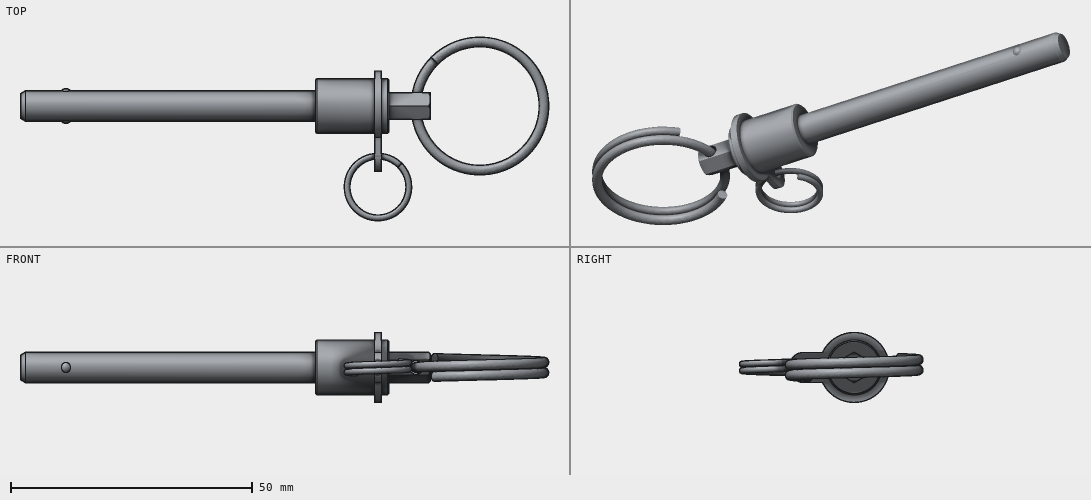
import cadquery as cq
import math

shank_diameter = 6.35
tip_chamfer_length = 1.0
tip_chamfer_depth = 0.6
collar_diameter = 11.4
collar_start = 61.1
collar_length = 15.2
collar_end = collar_start + collar_length
collar_chamfer = 0.3

hex_corner_width = 6.35
hex_length = 8.6
hex_chamfer = 0.35

ball_diameter = 2.4
ball_position = 9.4
ball_protrusion = 0.45
ball_offset = shank_diameter / 2 + ball_protrusion - ball_diameter / 2

tab_thickness = 1.4
tab_center = 74.05
tab_start = tab_center - tab_thickness / 2
tab_diameter = 14.56
tab_ear_width = 6.3
tab_hole_diameter = 2.4
tab_hole_offset = 10.4

coil_clearance = 0.1
ring_gap_angle = 90
winding_angle = 720 - ring_gap_angle

pull_wire_diameter = 2.05
pull_outer_radius = 14.3
pull_mean_radius = pull_outer_radius - pull_wire_diameter / 2
overall_length = 109.47
pull_center_x = overall_length - pull_outer_radius
pull_side = 180

tether_wire_diameter = 1.25
tether_outer_radius = 7.015
tether_mean_radius = tether_outer_radius - tether_wire_diameter / 2
tether_center_y = -(tab_hole_offset + tether_mean_radius)
tether_side = 90

hex_hole_diameter = 2.8
hex_hole_shift = 0.1
hex_hole_position = pull_center_x - pull_mean_radius + hex_hole_shift


def cylinder_x(start, length, diameter):
    """Cylinder along the pin axis."""
    return cq.Workplane("YZ", origin=(start, 0, 0)).circle(diameter / 2).extrude(length)


def make_ball(side):
    """Locking ball on the +Y (side = 1) or -Y (side = -1) side of the shank."""
    return cq.Workplane("XY").sphere(ball_diameter / 2).translate((ball_position, side * ball_offset, 0))


def make_hex_shaft():
    """Hexagonal shaft with a turned chamfer at its end and a cross hole for the pull ring."""
    shaft = (
        cq.Workplane("YZ", origin=(collar_end, 0, 0))
        .transformed(rotate=(0, 0, 90))
        .polygon(6, hex_corner_width)
        .extrude(hex_length)
    )
    envelope = cylinder_x(collar_end, hex_length, hex_corner_width).faces(">X").chamfer(hex_chamfer)
    hole = (
        cq.Workplane("XZ", origin=(hex_hole_position, 0, 0))
        .circle(hex_hole_diameter / 2)
        .extrude(hex_corner_width, both=True)
    )
    return shaft.intersect(envelope).cut(hole)


def make_pin_body(balls):
    """Shank, collar and hexagonal shaft in one piece, with a socket for each ball."""
    shank = (
        cylinder_x(0, collar_start, shank_diameter)
        .faces("<X")
        .chamfer(tip_chamfer_length, tip_chamfer_depth)
    )
    collar = cylinder_x(collar_start, collar_length, collar_diameter).faces("<X or >X").chamfer(collar_chamfer)
    body = shank.union(collar).union(make_hex_shaft())
    for ball in balls:
        body = body.cut(ball)
    return body


def make_tab_washer():
    """Flat washer with a round-ended ear towards -Y."""
    disc = cylinder_x(tab_start, tab_thickness, tab_diameter)
    ear = (
        cq.Workplane("YZ", origin=(tab_start, 0, 0))
        .center(-tab_hole_offset / 2, 0)
        .slot2D(tab_hole_offset + tab_ear_width, tab_ear_width)
        .extrude(tab_thickness)
    )
    ear_hole = cylinder_x(tab_start, tab_thickness, tab_hole_diameter).translate((0, -tab_hole_offset, 0))
    bore = cylinder_x(tab_start, tab_thickness, collar_diameter)
    return disc.union(ear).cut(bore).cut(ear_hole)


def make_split_ring(mean_radius, wire_diameter, single_side, center):
    """Coiled wire ring; its single strand, at mid height, lies at the angle single_side."""
    pitch = wire_diameter + coil_clearance
    height = pitch * winding_angle / 360
    path = cq.Wire.makeHelix(pitch, height, mean_radius)
    start_direction = (0, mean_radius, pitch / (2 * math.pi))
    start_plane = cq.Plane(origin=(mean_radius, 0, 0), xDir=(1, 0, 0), normal=start_direction)
    ring = cq.Workplane(start_plane).circle(wire_diameter / 2).sweep(cq.Workplane(path), isFrenet=True)
    start_angle = single_side - winding_angle / 2
    return (
        ring.translate((0, 0, -height / 2))
        .rotate((0, 0, 0), (0, 0, 1), start_angle)
        .translate(center)
    )


balls = [make_ball(side) for side in (-1, 1)]
pin_body = make_pin_body(balls)
tab_washer = make_tab_washer()
pull_ring = make_split_ring(pull_mean_radius, pull_wire_diameter, pull_side, (pull_center_x, 0, 0))
tether_ring = make_split_ring(
    tether_mean_radius, tether_wire_diameter, tether_side, (tab_center, tether_center_y, 0)
)

result = cq.Compound.makeCompound(
    [
        pin_body.val(),
        *[ball.val() for ball in balls],
        tab_washer.val(),
        pull_ring.val(),
        tether_ring.val(),
    ]
)